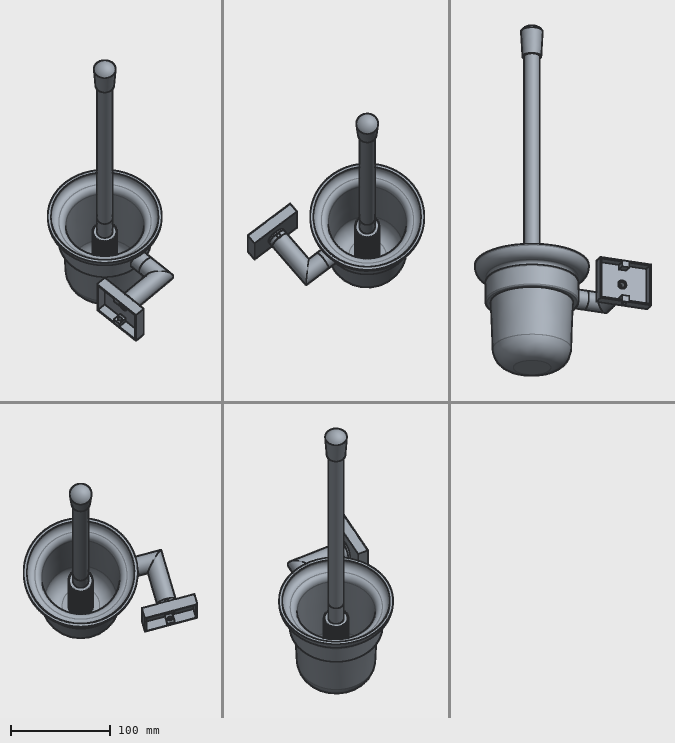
import cadquery as cq
import math

total_height = 370.0

rim_radius = 57.5
rim_height = 110.5
wall_thickness = 3.5
rim_band = 1.5
lip_center_radius = 46.2
lip_radius = rim_radius - lip_center_radius
lip_center_height = rim_height - rim_band
neck_arc_radius = 3.7
neck_center_height = lip_center_height - lip_radius - neck_arc_radius
base_flat_radius = 19.0
base_rounding = 20.7

wall_run = lip_center_radius - base_flat_radius
wall_rise = neck_center_height - base_rounding
wall_taper = math.degrees(
    math.acos((base_rounding + neck_arc_radius) / math.hypot(wall_run, wall_rise))
    - math.atan2(wall_rise, wall_run)
)

ring_radius = 93.5 / 2
ring_bottom = 70.0
ring_top = 93.0
ring_edge_fillet = 1.5
stub_end = 57.7

plate_width = 54.8
plate_height = 44.5
plate_depth = 11.0
plate_front = -61.8
plate_back = plate_front + plate_depth
plate_x = 77.0
plate_wall = 1.65
lug_width = 7.8
lug_height = 6.5
lug_hole_radius = 2.2

arm_radius = 19.5 / 2
arm_z = (ring_bottom + ring_top) / 2

clip_width = 4.5
clip_thickness = 2.0
clip_gap = 3.5
clip_start = plate_back + 2.2

screw_radius = 4.5
screw_recess = 0.7
screw_head = plate_back - plate_wall + screw_recess
screw_length = 9.2
socket_mouth_radius = 3.0
socket_floor_radius = 1.0
socket_depth = 3.7

brush_top = 84.0
brush_root_radius = 11.5
brush_tip_radius = 12.5
brush_ribs = 36
stick_radius = 16.0 / 2
stick_bottom = 108.0
grip_bottom = 337.0
grip_shoulder = 364.0
grip_bottom_radius = 9.5
grip_top_radius = 11.0


def arc_point(center_r, center_z, radius, degrees):
    """Point (r, z) on a circle of the cup profile."""
    angle = math.radians(degrees)
    return center_r + radius * math.cos(angle), center_z + radius * math.sin(angle)


def cup_form(inset):
    """Solid of revolution bounded by the cup's outer surface moved inwards by inset."""
    base_center = (base_flat_radius, base_rounding)
    base_arc = base_rounding - inset
    neck_center = (lip_center_radius, neck_center_height)
    neck_arc = neck_arc_radius + inset
    lip_center = (lip_center_radius, lip_center_height)
    lip_arc = lip_radius - inset
    return (
        cq.Workplane("XZ")
        .moveTo(0, inset)
        .lineTo(base_flat_radius, inset)
        .threePointArc(
            arc_point(*base_center, base_arc, -45),
            arc_point(*base_center, base_arc, -wall_taper),
        )
        .lineTo(*arc_point(*neck_center, neck_arc, 180 - wall_taper))
        .threePointArc(arc_point(*neck_center, neck_arc, 135), arc_point(*neck_center, neck_arc, 90))
        .threePointArc(arc_point(*lip_center, lip_arc, -45), arc_point(*lip_center, lip_arc, 0))
        .lineTo(rim_radius - inset, rim_height)
        .lineTo(0, rim_height)
        .close()
        .revolve(360, (0, 0, 0), (0, 1, 0))
    )


def y_cylinder(radius, x, z, start, length):
    """Cylinder along +Y from Y = start."""
    return cq.Workplane("XZ", origin=(x, start, z)).circle(radius).extrude(-length)


def make_cup():
    return cup_form(0).cut(cup_form(wall_thickness))


def make_ring():
    band = (
        cq.Workplane("XY", origin=(0, 0, ring_bottom))
        .circle(ring_radius)
        .extrude(ring_top - ring_bottom)
        .edges()
        .fillet(ring_edge_fillet)
    )
    stub = cq.Workplane("YZ", origin=(0, 0, arm_z)).circle(arm_radius).extrude(stub_end)
    return band.union(stub).cut(cup_form(0))


def clip_band():
    """Full ring that fills the groove in the arm."""
    outer = y_cylinder(arm_radius, plate_x, arm_z, clip_start, clip_width)
    inner = y_cylinder(arm_radius - clip_thickness, plate_x, arm_z, clip_start, clip_width)
    return outer.cut(inner)


def make_clip():
    gap = cq.Workplane("XY", origin=(plate_x, clip_start, arm_z)).box(
        clip_gap, clip_width, 2 * arm_radius, centered=(True, False, False)
    )
    return clip_band().cut(gap)


def make_arm():
    path = (
        cq.Workplane("XY", origin=(0, 0, arm_z))
        .moveTo(stub_end, 0)
        .lineTo(plate_x, 0)
        .lineTo(plate_x, plate_back)
    )
    bar = (
        cq.Workplane("YZ", origin=(stub_end, 0, arm_z))
        .circle(arm_radius)
        .sweep(path, transition="right")
    )
    return bar.cut(clip_band()).cut(screw_blank())


def make_plate():
    block_center = (plate_x, plate_front, arm_z)
    plate = cq.Workplane("XY", origin=block_center).box(
        plate_width, plate_depth, plate_height, centered=(True, False, True)
    )
    tray = cq.Workplane("XY", origin=block_center).box(
        plate_width - 2 * plate_wall,
        plate_depth - plate_wall,
        plate_height - 2 * plate_wall,
        centered=(True, False, True),
    )
    plate = plate.cut(tray)

    for side in (-1, 1):
        lug_z = arm_z + side * (plate_height - lug_height) / 2
        lug = cq.Workplane("XY", origin=(plate_x, plate_front, lug_z)).box(
            lug_width, plate_depth, lug_height, centered=(True, False, True)
        )
        plate = plate.union(lug)

    lug_hole = (
        cq.Workplane(
            "XY",
            origin=(plate_x, plate_front + (plate_depth - plate_wall) / 2, arm_z - plate_height / 2),
        )
        .circle(lug_hole_radius)
        .extrude(lug_height)
    )
    screw_hole = y_cylinder(screw_radius, plate_x, arm_z, plate_front, plate_depth)
    return plate.cut(lug_hole).cut(screw_hole)


def screw_blank():
    """Screw without its socket."""
    return y_cylinder(screw_radius, plate_x, arm_z, screw_head, screw_length)


def make_screw():
    """Screw with a conical socket in its head."""
    socket = cq.Solid.makeCone(
        socket_mouth_radius,
        socket_floor_radius,
        socket_depth,
        pnt=cq.Vector(plate_x, screw_head, arm_z),
        dir=cq.Vector(0, 1, 0),
    )
    return screw_blank().cut(cq.Workplane(socket))


def make_brush():
    """Brush head with upright ribs around it; it stands on the floor of the cup."""
    outline = []
    for rib in range(brush_ribs):
        for step, radius in enumerate((brush_root_radius, brush_tip_radius)):
            angle = 2 * math.pi * (rib + step / 2) / brush_ribs
            outline.append((radius * math.cos(angle), radius * math.sin(angle)))
    return (
        cq.Workplane("XY", origin=(0, 0, wall_thickness))
        .polyline(outline)
        .close()
        .extrude(brush_top - wall_thickness)
    )


def make_rod(bottom, top):
    return cq.Workplane("XY", origin=(0, 0, bottom)).circle(stick_radius).extrude(top - bottom)


def make_grip():
    """Grip that widens upwards and ends in a dome."""
    dome_rise = total_height - grip_shoulder
    dome_radius = (grip_top_radius**2 + dome_rise**2) / (2 * dome_rise)
    middle_radius = grip_top_radius / 2
    middle_z = total_height - dome_radius + math.sqrt(dome_radius**2 - middle_radius**2)
    return (
        cq.Workplane("XZ")
        .moveTo(0, grip_bottom)
        .lineTo(grip_bottom_radius, grip_bottom)
        .lineTo(grip_top_radius, grip_shoulder)
        .threePointArc((middle_radius, middle_z), (0, total_height))
        .close()
        .revolve(360, (0, 0, 0), (0, 1, 0))
    )


cup = make_cup()
ring = make_ring()
arm = make_arm()
clip = make_clip()
plate = make_plate()
screw = make_screw()
brush = make_brush()
shank = make_rod(brush_top, stick_bottom)
stick = make_rod(stick_bottom, grip_bottom)
grip = make_grip()

bodies = [cup, ring, arm, clip, plate, screw, brush, shank, stick, grip]
result = cq.Compound.makeCompound([body.solids().val() for body in bodies])